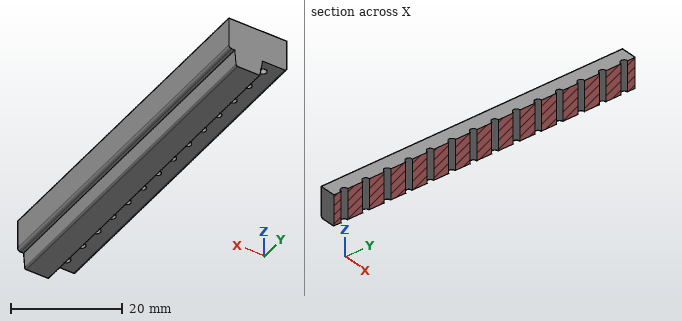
import cadquery as cq

length = 70.0
width = 12.4
height = 10.3

body_height = 6.8
left_edge_radius = 0.5
right_edge_radius = 0.6

rail_root_left = 5.2
rail_root_right = 11.1
rail_foot_left = 5.8
rail_foot_right = 10.85
rail_foot_radius = 0.35

hole_count = 14
hole_pitch = length / hole_count
hole_diameter = 1.5
hole_offset = 3.5

body_bottom = height - body_height


def lower_edge(solid, side):
    """The lowest lengthwise edge of a solid on the side '<X' or '>X'."""
    return solid.edges("|Y").edges("<Z").edges(side)


def make_body():
    """Rectangular bar with its two lower long edges rounded."""
    bar = (
        cq.Workplane("XY")
        .workplane(offset=body_bottom)
        .box(width, length, body_height, centered=(False, True, False))
    )
    bar = lower_edge(bar, "<X").fillet(left_edge_radius)
    return lower_edge(bar, ">X").fillet(right_edge_radius)


def make_rail():
    """Tapered rail that runs the full length below the body."""
    rail = (
        cq.Workplane("XZ")
        .moveTo(rail_root_left, body_bottom)
        .lineTo(rail_foot_left, 0)
        .lineTo(rail_foot_right, 0)
        .lineTo(rail_root_right, body_bottom)
        .close()
        .extrude(length / 2, both=True)
    )
    return lower_edge(rail, ">X").fillet(rail_foot_radius)


def make_hole_pins():
    """Row of vertical cylinders that cut the holes."""
    return (
        cq.Workplane("XY")
        .center(hole_offset, 0)
        .rarray(0.7, hole_pitch, 1, hole_count)
        .circle(hole_diameter / 2)
        .extrude(height)
    )


result = make_body().union(make_rail()).cut(make_hole_pins())